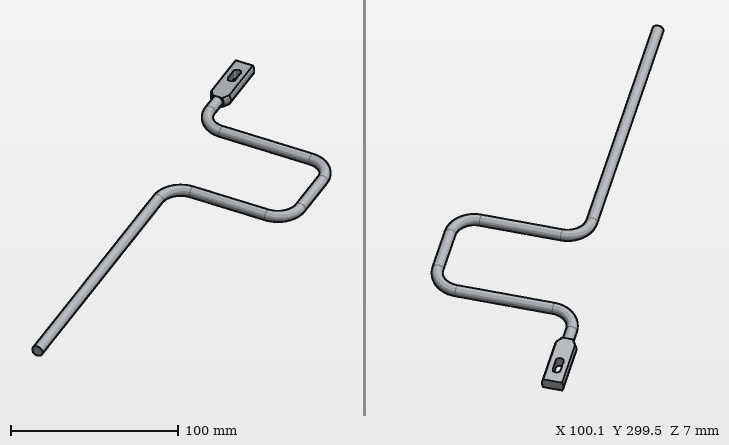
import cadquery as cq

total_length = 299.5
rod_diameter = 7.0
bend_radius = 15.0
upper_leg_y = -61.5
leg_spacing = 60.0
upper_leg_length = 89.8
lower_leg_length = 80.0

head_width = 13.5
neck_end_width = 8.5
side_bulge = 1.0
shoulder_y = -32.0
neck_y = -36.2

slot_width = 4.8
slot_length = 12.0
slot_y = -13.5

lower_leg_y = upper_leg_y - leg_spacing
handle_x = upper_leg_length - lower_leg_length


def bent_rod():
    """Round rod swept along an S-shaped path with tangent bends."""
    r = bend_radius
    path = (
        cq.Workplane("XY")
        .moveTo(0, neck_y)
        .lineTo(0, upper_leg_y + r)
        .tangentArcPoint((r, upper_leg_y), relative=False)
        .lineTo(upper_leg_length - r, upper_leg_y)
        .tangentArcPoint((upper_leg_length, upper_leg_y - r), relative=False)
        .lineTo(upper_leg_length, lower_leg_y + r)
        .tangentArcPoint((upper_leg_length - r, lower_leg_y), relative=False)
        .lineTo(handle_x + r, lower_leg_y)
        .tangentArcPoint((handle_x, lower_leg_y - r), relative=False)
        .lineTo(handle_x, -total_length)
    )
    start = cq.Workplane("XZ", origin=(0, neck_y, 0))
    return start.circle(rod_diameter / 2).sweep(path)


def head_section(plane, width):
    """Flat-topped section whose two sides bulge outward as arcs."""
    half_height = rod_diameter / 2
    half_width = width / 2
    half_flat = half_width - side_bulge
    return (
        plane.moveTo(-half_flat, half_height)
        .lineTo(half_flat, half_height)
        .threePointArc((half_width, 0), (half_flat, -half_height))
        .lineTo(-half_flat, -half_height)
        .threePointArc((-half_width, 0), (-half_flat, half_height))
        .close()
    )


def head():
    """Flat head with a shoulder tapering to the rod and a slot."""
    blade = head_section(cq.Workplane("XZ"), head_width).extrude(-shoulder_y)
    shoulder_start = cq.Workplane("XZ", origin=(0, shoulder_y, 0))
    wide_end = head_section(shoulder_start, head_width)
    narrow_plane = wide_end.workplane(offset=shoulder_y - neck_y, origin=(0, shoulder_y, 0))
    shoulder = head_section(narrow_plane, neck_end_width).loft(ruled=True, combine=True)
    slot = (
        cq.Workplane("XY")
        .center(0, slot_y)
        .slot2D(slot_length, slot_width, 90)
        .extrude(rod_diameter, both=True)
    )
    return blade.union(shoulder).cut(slot)


result = bent_rod().union(head())